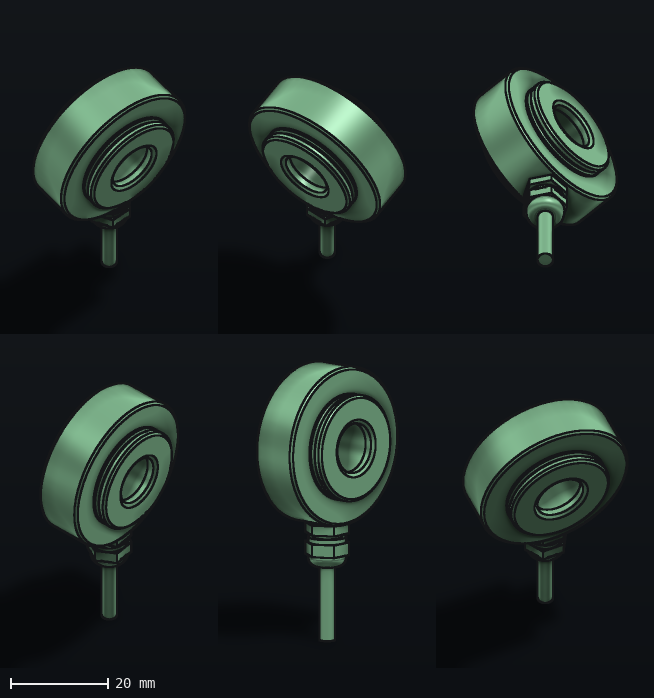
import cadquery as cq
import math

ring_diameter = 33.0
ring_width = 10.0
hub_diameter = 22.0
edge_chamfer = 0.5
bore_diameter = 10.3

total_width = 16.0
washer_thickness = 2.0
bore_mouth_diameter = 11.95
bore_chamfer_depth = 0.5

hub_width = total_width - 2 * washer_thickness

hex_across_flats = 8.0
sleeve_diameter = 7.8
neck_diameter = 6.0
spigot_diameter = 7.0
spigot_depth = 1.0
base_hex_height = 2.05
neck_height = 0.85
collar_height = 1.05
nut_hex_height = 2.65
dome_height = 2.4
dome_radius = 1.8

gland_top = -ring_diameter / 2
spigot_top = gland_top + spigot_depth
hex_across_corners = hex_across_flats / math.cos(math.pi / 6)

cable_diameter = 3.2
total_height = 57.5
cable_bottom = ring_diameter / 2 - total_height


def disc(diameter, width, center_x=0.0):
    """Solid disc on the X axis, centred lengthwise at center_x, with both rims chamfered."""
    start = center_x - width / 2
    blank = cq.Workplane("YZ", origin=(start, 0, 0)).circle(diameter / 2).extrude(width)
    return blank.edges().chamfer(edge_chamfer)


def through_bore():
    """Cylinder that clears the bore along the full width of the assembly."""
    return cq.Workplane("YZ").circle(bore_diameter / 2).extrude(total_width / 2, both=True)


def make_ring():
    """Wide outer ring with a narrower hub on each side and a socket for the gland underneath."""
    ring = disc(ring_diameter, ring_width).union(disc(hub_diameter, hub_width))
    return ring.cut(through_bore()).cut(make_spigot())


def make_washer(side):
    """Washer on the -X (side = -1) or +X (side = 1) hub, its bore chamfered on the outer face."""
    center_x = side * (total_width - washer_thickness) / 2
    washer = disc(hub_diameter, washer_thickness, center_x).cut(through_bore())
    face_x = side * total_width / 2
    mouth_cone = cq.Workplane("XY").polyline([
        (face_x, 0),
        (face_x, bore_mouth_diameter / 2),
        (face_x - side * bore_chamfer_depth, bore_diameter / 2),
        (face_x - side * bore_chamfer_depth, 0),
    ]).close().revolve(360, (0, 0, 0), (1, 0, 0))
    return washer.cut(mouth_cone)


def hexagon(top, height):
    """Hexagonal prism downward from top, with flats facing X and corners along Y."""
    profile = cq.Workplane("XY", origin=(0, 0, top)).transformed(rotate=(0, 0, 90))
    return profile.polygon(6, hex_across_corners).extrude(-height)


def cylinder(diameter, top, height):
    """Round section on the Z axis, downward from top."""
    return cq.Workplane("XY", origin=(0, 0, top)).circle(diameter / 2).extrude(-height)


def make_spigot():
    """Round end of the gland that sits in the ring."""
    return cylinder(spigot_diameter, spigot_top, spigot_depth)


def make_gland():
    """Spigot, base hexagon, neck, collar, nut hexagon and domed end, stacked from the ring down."""
    neck_top = gland_top - base_hex_height
    collar_top = neck_top - neck_height
    nut_top = collar_top - collar_height
    dome_top = nut_top - nut_hex_height

    dome = cylinder(sleeve_diameter, dome_top, dome_height).faces("<Z").edges().fillet(dome_radius)
    gland = (
        make_spigot()
        .union(hexagon(gland_top, base_hex_height))
        .union(cylinder(neck_diameter, neck_top, neck_height))
        .union(cylinder(sleeve_diameter, collar_top, collar_height))
        .union(hexagon(nut_top, nut_hex_height))
        .union(dome)
    )
    return gland.cut(make_cable())


def make_cable():
    """Straight cable running through the gland, starting at the floor of the ring socket."""
    return cylinder(cable_diameter, spigot_top, spigot_top - cable_bottom)


ring = make_ring()
washers = [make_washer(side) for side in (-1, 1)]
gland = make_gland()
cable = make_cable()

result = cq.Compound.makeCompound(
    [ring.val(), *[washer.val() for washer in washers], gland.val(), cable.val()]
)